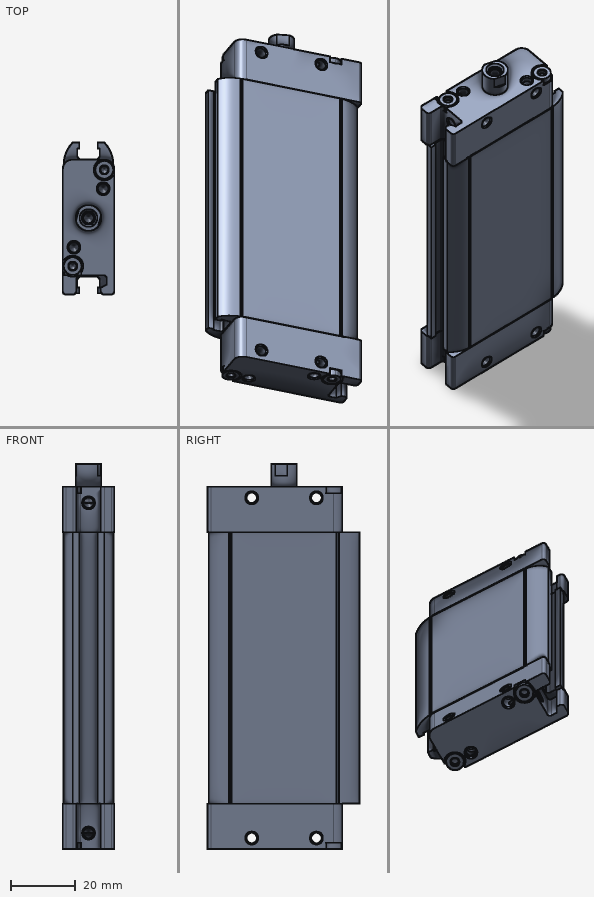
import cadquery as cq
import math


total_height = 119.0
cap_height = 14.0
rod_stickout = 7.0
body_height = total_height - rod_stickout
tube_height = body_height - 2 * cap_height
upper_cap_base = body_height - cap_height

tube_half_width = 7.7
tube_half_depth = 23.3
tube_side_radius = 10.1
tube_end_half_width = 4.9
slot_mouth_half = 2.9
slot_inner_half = 3.5
slot_lip_thickness = 1.9
slot_depth = 5.1
slot_corner_radius = 1.1
groove_y = 16.7
groove_width = 1.0
groove_depth = 0.2

cap_half_width = 8.0
cap_back_y = 18.0
cap_front_y = -23.7
cap_back_radius = 2.9
cap_front_radius = 1.0
channel_half_width = 3.8
channel_floor_y = -17.7
channel_floor_radius = 1.2
channel_lip_radius = 1.1
undercut_half_width = 5.6
undercut_end_y = -20.6
undercut_lip_y = -21.5
undercut_radius = 0.8

thread_mouth_diameter = 4.0
thread_diameter = 3.2
drill_half_angle = 59.0
side_hole_y = 10.0
side_hole_inset = 3.5
end_port_x = 4.5
end_port_y = 9.0
end_port_depth = 7.0
air_port_inset = 5.0
air_port_depth = 6.8

screw_x = 4.9
screw_y = 14.9
screw_recess_diameter = 6.5
screw_recess_depth = 2.0
screw_head_diameter = 5.5
side_notch_width = 3.8
channel_notch_width = 5.2
screw_socket_diameter = 2.4
screw_socket_mouth_diameter = 2.9
screw_socket_depth = 1.5

rod_diameter = 8.0
rod_flat_distance = 7.0
rod_flat_height = 3.7
rod_flat_angle = -15.0
rod_bore_diameter = 4.2
rod_bore_mouth_diameter = 5.5
rod_bore_depth = 1.4
rod_core_depth = 7.0


def cylinder_down(diameter, depth):
    """Cylinder from the origin down -Z."""
    return cq.Workplane("XY").circle(diameter / 2).extrude(-depth)


def mouth_chamfer(mouth_diameter, diameter):
    """45 degree cone from the mouth diameter at the origin down to the hole diameter."""
    chamfer_depth = (mouth_diameter - diameter) / 2
    return cq.Workplane("XY").circle(mouth_diameter / 2).extrude(-chamfer_depth, taper=45)


def drilled_hole(diameter, depth):
    """Blind drill cutter from the origin down -Z with a conical bottom."""
    radius = diameter / 2
    tip_depth = depth + radius / math.tan(math.radians(drill_half_angle))
    return (
        cq.Workplane("XZ")
        .lineTo(radius, 0)
        .lineTo(radius, -depth)
        .lineTo(0, -tip_depth)
        .close()
        .revolve(360, (0, 0), (0, 1))
    )


def chamfered_hole(mouth_diameter, diameter, depth):
    """Drilled hole cutter with a chamfered mouth at the origin."""
    return drilled_hole(diameter, depth).union(mouth_chamfer(mouth_diameter, diameter))


def threaded_hole(depth):
    """Threaded hole cutter from the origin down -Z."""
    return chamfered_hole(thread_mouth_diameter, thread_diameter, depth)


def tube_slot():
    """T-shaped slot cutter along the tube, open toward +Y."""
    floor_y = tube_half_depth - slot_depth
    lip_y = tube_half_depth - slot_lip_thickness
    inner = (
        cq.Workplane("XY")
        .moveTo(0, (floor_y + lip_y) / 2)
        .rect(2 * slot_inner_half, lip_y - floor_y)
        .extrude(tube_height)
        .edges("|Z and <Y")
        .fillet(slot_corner_radius)
    )
    mouth = (
        cq.Workplane("XY")
        .moveTo(0, (floor_y + tube_half_depth) / 2)
        .rect(2 * slot_mouth_half, slot_depth)
        .extrude(tube_height)
    )
    return inner.union(mouth)


def side_groove():
    """V groove cutter along the +X side of the tube."""
    return (
        cq.Workplane("XY")
        .moveTo(tube_half_width, groove_y - groove_width / 2)
        .lineTo(tube_half_width - groove_depth, groove_y)
        .lineTo(tube_half_width, groove_y + groove_width / 2)
        .close()
        .extrude(tube_height)
    )


def make_tube():
    arc_run = tube_half_width - tube_end_half_width
    arc_rise = math.sqrt(tube_side_radius**2 - (tube_side_radius - arc_run) ** 2)
    arc_y = tube_half_depth - arc_rise
    tube = (
        cq.Workplane("XY")
        .moveTo(tube_half_width, -arc_y)
        .lineTo(tube_half_width, arc_y)
        .radiusArc((tube_end_half_width, tube_half_depth), -tube_side_radius)
        .lineTo(-tube_end_half_width, tube_half_depth)
        .radiusArc((-tube_half_width, arc_y), -tube_side_radius)
        .lineTo(-tube_half_width, -arc_y)
        .radiusArc((-tube_end_half_width, -tube_half_depth), -tube_side_radius)
        .lineTo(tube_end_half_width, -tube_half_depth)
        .radiusArc((tube_half_width, -arc_y), -tube_side_radius)
        .close()
        .extrude(tube_height)
    )
    groove = side_groove()
    for cutter in (tube_slot(), groove, groove.mirror("XZ")):
        tube = tube.cut(cutter)
        tube = tube.cut(cutter.rotate((0, 0, 0), (0, 0, 1), 180))
    return tube.translate((0, 0, cap_height))


def vertical_edge(x, y):
    """Selector for the upright edge of a cap-high solid at (x, y)."""
    return cq.selectors.NearestToPointSelector((x, y, cap_height / 2))


def cap_blank():
    """Cap outline with rounded corners and the channel open toward -Y."""
    depth = cap_back_y - cap_front_y
    blank = (
        cq.Workplane("XY")
        .moveTo(0, (cap_back_y + cap_front_y) / 2)
        .rect(2 * cap_half_width, depth)
        .extrude(cap_height)
        .edges("|Z and >Y")
        .fillet(cap_back_radius)
        .edges("|Z and <Y")
        .fillet(cap_front_radius)
    )
    channel = (
        cq.Workplane("XY")
        .moveTo(-channel_half_width, cap_front_y)
        .lineTo(-channel_half_width, channel_floor_y)
        .lineTo(undercut_half_width, channel_floor_y)
        .lineTo(undercut_half_width, undercut_end_y)
        .lineTo(channel_half_width, undercut_lip_y)
        .lineTo(channel_half_width, cap_front_y)
        .close()
        .extrude(cap_height)
    )
    channel = channel.edges(vertical_edge(-channel_half_width, channel_floor_y)).fillet(channel_floor_radius)
    channel = channel.edges(vertical_edge(undercut_half_width, channel_floor_y)).fillet(undercut_radius)
    blank = blank.cut(channel)
    for lip_x in (-channel_half_width, channel_half_width):
        blank = blank.edges(vertical_edge(lip_x, cap_front_y)).fillet(channel_lip_radius)
    return blank


def screw_recess():
    """Cutter around the head of the +X screw, with its socket; the top lies at Z = 0."""
    notch_length = cap_half_width - screw_x
    notch = (
        cq.Workplane("XY")
        .moveTo(notch_length / 2, 0)
        .rect(notch_length, side_notch_width)
        .extrude(-screw_recess_depth)
    )
    recess = cylinder_down(screw_recess_diameter, screw_recess_depth).union(notch)
    head = cylinder_down(screw_head_diameter, screw_recess_depth)
    socket = chamfered_hole(screw_socket_mouth_diameter, screw_socket_diameter, screw_socket_depth)
    return recess.cut(head).union(socket)


def channel_notch():
    """Cutter that opens the front screw recess into the channel, clear of the screw head."""
    notch_length = -channel_floor_y - screw_y
    notch = (
        cq.Workplane("XY")
        .moveTo(0, -notch_length / 2)
        .rect(channel_notch_width, notch_length)
        .extrude(-screw_recess_depth)
        .cut(cylinder_down(screw_head_diameter, screw_recess_depth))
    )
    return notch.translate((-screw_x, -screw_y, cap_height))


def end_face_cutter():
    """Cutter for one screw and one threaded port in the +X, +Y half of the outer cap face."""
    recess = screw_recess().translate((screw_x, screw_y, cap_height))
    port = threaded_hole(end_port_depth).translate((end_port_x, end_port_y, cap_height))
    return recess.union(port)


def make_cap():
    """End cap with its outer face up at Z = cap_height."""
    cap = cap_blank()
    side_hole = threaded_hole(cap_half_width).rotate((0, 0, 0), (0, 1, 0), 90)
    side_hole = side_hole.translate((cap_half_width, side_hole_y, cap_height - side_hole_inset))
    for cutter in (end_face_cutter(), side_hole, side_hole.mirror("XZ")):
        cap = cap.cut(cutter)
        cap = cap.cut(cutter.rotate((0, 0, 0), (0, 0, 1), 180))
    cap = cap.cut(channel_notch())
    air_port = threaded_hole(air_port_depth).rotate((0, 0, 0), (1, 0, 0), 90)
    return cap.cut(air_port.translate((0, channel_floor_y, cap_height - air_port_inset)))


def make_upper_cap():
    rod_hole = cq.Workplane("XY").circle(rod_diameter / 2).extrude(cap_height)
    return make_cap().cut(rod_hole).translate((0, 0, upper_cap_base))


def make_lower_cap():
    return make_cap().mirror("XY").translate((0, 0, cap_height))


def make_rod():
    length = cap_height + rod_stickout
    rod = cq.Workplane("XY").circle(rod_diameter / 2).extrude(length)
    flats = (
        cq.Workplane("XY", origin=(0, 0, length - rod_flat_height))
        .rect(2 * rod_diameter, 2 * rod_diameter)
        .rect(rod_flat_distance, 2 * rod_diameter)
        .extrude(rod_flat_height)
        .rotate((0, 0, 0), (0, 0, 1), rod_flat_angle)
    )
    bore = (
        cylinder_down(rod_bore_diameter, rod_bore_depth)
        .union(mouth_chamfer(rod_bore_mouth_diameter, rod_bore_diameter))
        .union(drilled_hole(thread_diameter, rod_core_depth))
    )
    rod = rod.cut(flats).cut(bore.translate((0, 0, length)))
    return rod.translate((0, 0, upper_cap_base))


tube = make_tube()
upper_cap = make_upper_cap()
lower_cap = make_lower_cap()
rod = make_rod()

result = cq.Compound.makeCompound([tube.val(), upper_cap.val(), lower_cap.val(), rod.val()])